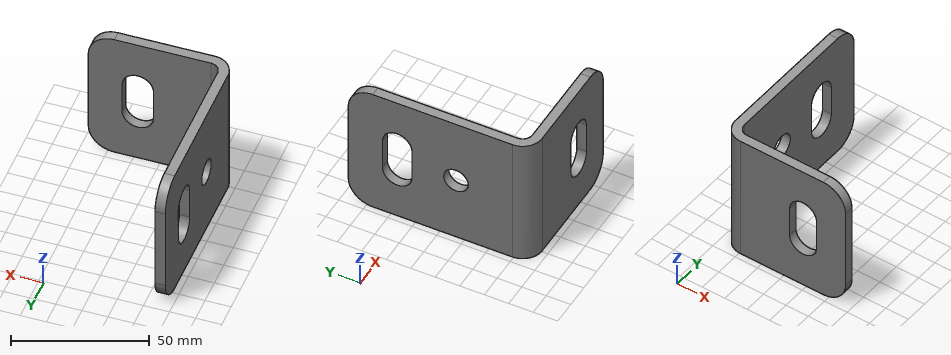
import cadquery as cq

short_leg = 55.0
long_leg = 75.0
height = 55.0
thickness = 4.0

inner_bend_radius = 4.0
outer_bend_radius = inner_bend_radius + thickness
corner_radius = 10.0

slot_width = 12.0
slot_length = 25.0
short_leg_slot_x = 36.0
long_leg_slot_y = 55.0
hole_diameter = 10.0
long_leg_hole_y = 31.0

mid_height = height / 2
cut_reach = thickness


def bent_sheet():
    """L-shaped sheet extruded up Z, its outer faces on the planes X = 0 and Y = 0."""
    profile = (
        cq.Workplane("XY")
        .polyline([(0, 0), (short_leg, 0), (short_leg, thickness), (thickness, thickness),
                   (thickness, long_leg), (0, long_leg)])
        .close()
    )
    sheet = profile.extrude(height)
    inner_edge = cq.selectors.NearestToPointSelector((thickness, thickness, mid_height))
    sheet = sheet.edges(inner_edge).fillet(inner_bend_radius)
    outer_edge = cq.selectors.NearestToPointSelector((0, 0, mid_height))
    return sheet.edges(outer_edge).fillet(outer_bend_radius)


def round_leg_corners(sheet):
    """Round the two free corners of each leg."""
    sheet = sheet.faces(">X").edges("|Y").fillet(corner_radius)
    return sheet.faces(">Y").edges("|X").fillet(corner_radius)


def short_leg_slot_cutter():
    """Upright slot through the short leg."""
    return (
        cq.Workplane("XZ", origin=(short_leg_slot_x, thickness / 2, mid_height))
        .slot2D(slot_length, slot_width, 90)
        .extrude(cut_reach, both=True)
    )


def long_leg_slot_cutter():
    """Upright slot through the long leg."""
    return (
        cq.Workplane("YZ", origin=(thickness / 2, long_leg_slot_y, mid_height))
        .slot2D(slot_length, slot_width, 90)
        .extrude(cut_reach, both=True)
    )


def long_leg_hole_cutter():
    """Round hole through the long leg."""
    return (
        cq.Workplane("YZ", origin=(thickness / 2, long_leg_hole_y, mid_height))
        .circle(hole_diameter / 2)
        .extrude(cut_reach, both=True)
    )


result = (
    round_leg_corners(bent_sheet())
    .cut(short_leg_slot_cutter())
    .cut(long_leg_slot_cutter())
    .cut(long_leg_hole_cutter())
)